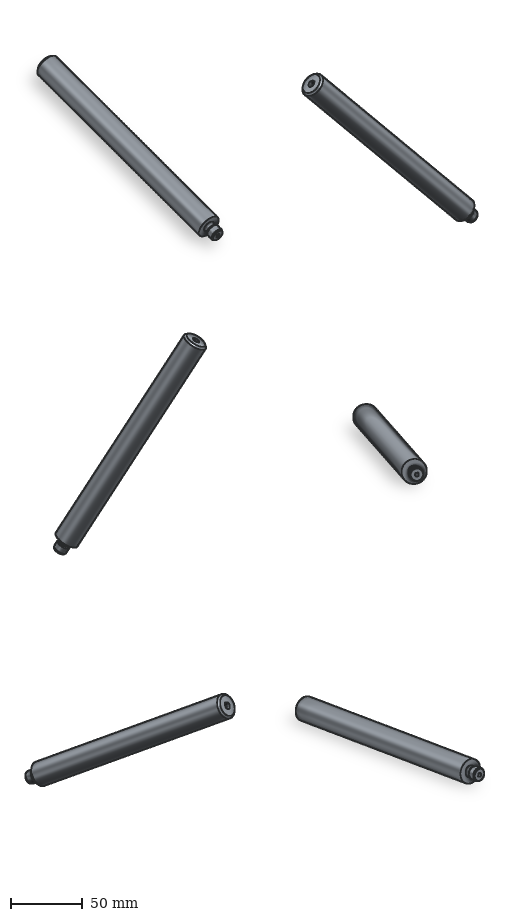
import cadquery as cq

total_length = 190.0
rod_length = 180.0
rod_diameter = 18.0
rod_chamfer = 1.5
rod_bore_diameter = 5.1

stud_bore_diameter = 2.8
spigot_length = 19.0
neck_radius = 3.8
neck_fillet = 0.5
head_radius = 5.0
head_chamfer_length = 1.1
neck_length = 3.2

rod_radius = rod_diameter / 2
rod_bore_radius = rod_bore_diameter / 2
stud_bore_radius = stud_bore_diameter / 2
rod_start = -total_length / 2
rod_end = rod_start + rod_length
stud_end = rod_start + total_length


def make_rod():
    """Tube with a chamfered outer edge at its free end."""
    rod = cq.Workplane("YZ", origin=(rod_start, 0, 0)).circle(rod_radius).extrude(rod_length)
    rod = rod.faces("<X").chamfer(rod_chamfer)
    bore = cq.Workplane("YZ", origin=(rod_start, 0, 0)).circle(rod_bore_radius).extrude(rod_length)
    return rod.cut(bore)


def make_stud():
    """Hollow turned stud, its spigot filling the end of the rod bore."""
    spigot_start = rod_end - spigot_length
    head_start = rod_end + neck_length
    head_face_radius = neck_radius + neck_fillet
    return (
        cq.Workplane("XY")
        .moveTo(spigot_start, stud_bore_radius)
        .lineTo(spigot_start, rod_bore_radius)
        .lineTo(rod_end, rod_bore_radius)
        .lineTo(rod_end, head_face_radius)
        .radiusArc((rod_end + neck_fillet, neck_radius), -neck_fillet)
        .lineTo(head_start - neck_fillet, neck_radius)
        .radiusArc((head_start, head_face_radius), -neck_fillet)
        .lineTo(head_start + head_chamfer_length, head_radius)
        .lineTo(stud_end - head_chamfer_length, head_radius)
        .lineTo(stud_end, head_face_radius)
        .lineTo(stud_end, stud_bore_radius)
        .close()
        .revolve(360, (0, 0, 0), (1, 0, 0))
    )


rod = make_rod()
stud = make_stud()
result = cq.Compound.makeCompound([rod.val(), stud.val()])